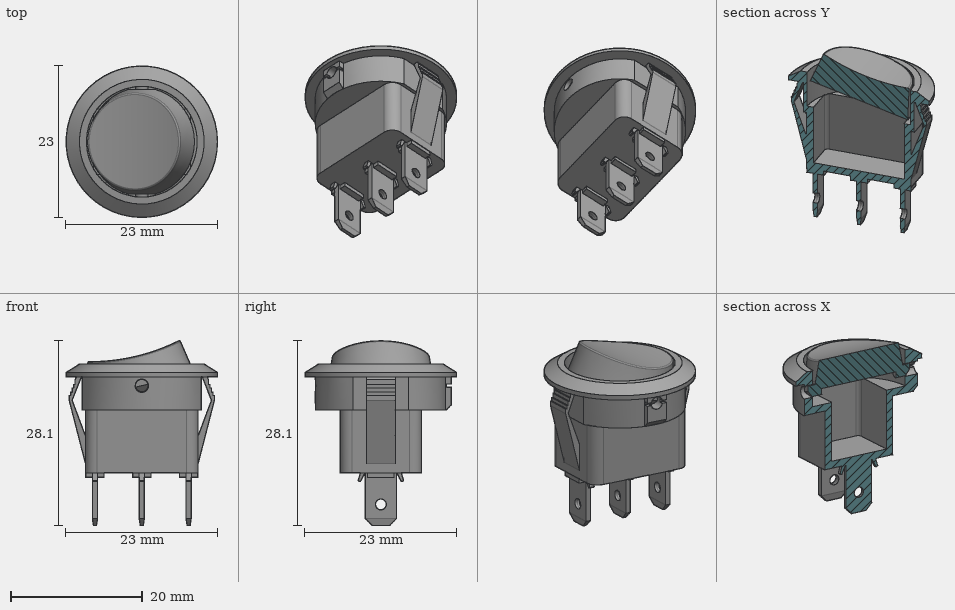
import cadquery as cq


flange_diameter = 23.0
flange_rim_height = 0.7
flange_height = 1.97
flange_top_diameter = 18.95
collar_diameter = 19.95
collar_depth = 5.05
collar_width = 18.1

body_length = 17.15
body_width = 12.35
body_corner_radius = 1.8
body_bottom = -14.55

wall = 1.2
bowl_diameter = 16.8
bowl_floor = wall - collar_depth
well_length = body_length - 2 * wall
well_width = body_width - 2 * wall
well_floor = body_bottom + wall

pivot_height = -1.32
pivot_hole_diameter = 2.0
pin_diameter = 1.9
pin_start = 6.75
pin_end = 9.27
pin_bevel_run = 0.8

key_width = 3.37
key_reach = 10.7
key_chamfer = 0.81
key_slot_height = 0.45

clip_width = 4.38
clip_root_inner = 9.15
clip_root_outer = 9.95
clip_slope_depth = 0.42
clip_first_step_x = 10.15
clip_step_width = 0.22
clip_step_levels = [-1.12, -1.65, -2.3, -2.8]
clip_knee_inner = 10.57
clip_knee_level = -3.55
clip_foot_inner_level = -8.88
clip_foot_outer_level = -13.15
clip_overlap = 0.28

terminal_pitch = 7.1
terminal_thickness = 0.81
terminal_width = 4.75
terminal_bottom = -22.6
terminal_tip_height = 1.1
terminal_tip_width = 2.6
terminal_tip_thickness = 0.48
terminal_hole_diameter = 1.6
terminal_hole_level = -19.35
terminal_block_length = 2.8
terminal_block_width = 4.02
terminal_block_height = 0.7
barb_root_inner = 2.4
barb_root_outer = 3.12
barb_reach = 3.45
barb_length = 1.32
barb_tip_chamfer = 0.17
barb_tip_width = 0.2

rocker_tilt = 13.0
rocker_base_radius = 8.2
rocker_top_radius = 7.2
rocker_height = 5.42
rocker_flat_width = 15.9
rocker_sag = 0.87
rocker_edge_radius = 0.22


def make_shell():
    """Flange, collar, lower body and the hollow inside them."""
    flange_radius = flange_diameter / 2
    flange = (
        cq.Workplane("XZ")
        .polyline([
            (0, 0),
            (flange_radius, 0),
            (flange_radius, flange_rim_height),
            (flange_top_diameter / 2, flange_height),
            (0, flange_height),
        ])
        .close()
        .revolve(360, (0, 0, 0), (0, 1, 0))
    )
    flats = cq.Workplane("XY").rect(collar_width, collar_diameter).extrude(-collar_depth)
    collar = cq.Workplane("XY").circle(collar_diameter / 2).extrude(-collar_depth).intersect(flats)
    body = (
        cq.Workplane("XY")
        .rect(body_length, body_width)
        .extrude(body_bottom)
        .edges("|Z")
        .fillet(body_corner_radius)
    )
    bowl = (
        cq.Workplane("XY", origin=(0, 0, bowl_floor))
        .circle(bowl_diameter / 2)
        .extrude(flange_height - bowl_floor)
    )
    well = (
        cq.Workplane("XY", origin=(0, 0, well_floor))
        .rect(well_length, well_width)
        .extrude(bowl_floor - well_floor)
        .edges("|Z")
        .fillet(body_corner_radius - wall)
    )
    return flange.union(collar).union(body).union(make_key()).cut(bowl).cut(well)


def make_key():
    """Locating key on the collar, split by a slot at pivot height."""
    key_root = bowl_diameter / 2
    key = (
        cq.Workplane("YZ")
        .polyline([
            (key_root, 0),
            (key_reach, 0),
            (key_reach, key_chamfer - collar_depth),
            (key_reach - key_chamfer, -collar_depth),
            (key_root, -collar_depth),
        ])
        .close()
        .extrude(key_width / 2, both=True)
    )
    slot_depth = key_reach - collar_diameter / 2
    slot_center = (0, key_reach - slot_depth / 2, pivot_height)
    slot = cq.Workplane("XY", origin=slot_center).box(key_width, slot_depth, key_slot_height)
    return key.cut(slot)


def make_clip(side):
    """Stepped spring clip on one X side; side is +1 or -1."""
    outline = [
        (clip_root_inner, 0),
        (clip_root_outer, 0),
        (clip_first_step_x, -clip_slope_depth),
    ]
    clip_x = clip_first_step_x
    for level in clip_step_levels:
        outline.append((clip_x, level))
        clip_x += clip_step_width
        outline.append((clip_x, level))
    foot_x = body_length / 2
    outline += [
        (clip_x, clip_knee_level),
        (foot_x, clip_foot_outer_level),
        (foot_x - clip_overlap, clip_foot_outer_level),
        (foot_x - clip_overlap, clip_foot_inner_level),
        (foot_x, clip_foot_inner_level),
        (clip_knee_inner, clip_knee_level),
    ]
    return (
        cq.Workplane("XZ")
        .polyline([(side * x, z) for x, z in outline])
        .close()
        .extrude(clip_width / 2, both=True)
    )


def make_blade():
    """Terminal blade in the YZ plane with a narrowed, thinned tip and a hole."""
    tip_top = terminal_bottom + terminal_tip_height
    blade = (
        cq.Workplane("YZ")
        .polyline([
            (-terminal_width / 2, body_bottom),
            (-terminal_width / 2, tip_top),
            (-terminal_tip_width / 2, terminal_bottom),
            (terminal_tip_width / 2, terminal_bottom),
            (terminal_width / 2, tip_top),
            (terminal_width / 2, body_bottom),
        ])
        .close()
        .extrude(terminal_thickness / 2, both=True)
    )
    taper = (
        cq.Workplane("XZ")
        .polyline([
            (-terminal_thickness / 2, body_bottom),
            (-terminal_thickness / 2, tip_top),
            (-terminal_tip_thickness / 2, terminal_bottom),
            (terminal_tip_thickness / 2, terminal_bottom),
            (terminal_thickness / 2, tip_top),
            (terminal_thickness / 2, body_bottom),
        ])
        .close()
        .extrude(terminal_width / 2, both=True)
    )
    hole = (
        cq.Workplane("YZ")
        .center(0, terminal_hole_level)
        .circle(terminal_hole_diameter / 2)
        .extrude(terminal_thickness, both=True)
    )
    return blade.intersect(taper).cut(hole)


def make_barb(side):
    """Bent-out barb beside a blade; side is +1 or -1 along Y."""
    barb_bottom = body_bottom - barb_length
    tip_outer = barb_reach - barb_tip_chamfer
    outline = [
        (barb_root_inner, body_bottom),
        (barb_root_outer, body_bottom),
        (barb_reach, barb_bottom + barb_tip_chamfer),
        (tip_outer, barb_bottom),
        (tip_outer - barb_tip_width, barb_bottom),
    ]
    return (
        cq.Workplane("YZ")
        .polyline([(side * y, z) for y, z in outline])
        .close()
        .extrude(terminal_thickness / 2, both=True)
    )


def make_terminal():
    """One blade with its two barbs and the block it passes through."""
    block = (
        cq.Workplane("XY", origin=(0, 0, body_bottom))
        .rect(terminal_block_length, terminal_block_width)
        .extrude(-terminal_block_height)
    )
    return make_blade().union(block).union(make_barb(1)).union(make_barb(-1))


def make_housing():
    """Shell with its clips, terminals and pivot holes as one solid."""
    housing = make_shell()
    for side in (-1, 1):
        housing = housing.union(make_clip(side))
    for position in (-1, 0, 1):
        housing = housing.union(make_terminal().translate((position * terminal_pitch, 0, 0)))
    pivot_hole = (
        cq.Workplane("XZ")
        .center(0, pivot_height)
        .circle(pivot_hole_diameter / 2)
        .extrude(flange_diameter / 2, both=True)
    )
    return housing.cut(pivot_hole)


def make_pin(side):
    """Pivot pin along Y with its lower half bevelled; side is +1 or -1."""
    pin_radius = pin_diameter / 2
    side_outline = [
        (pin_start, pin_radius),
        (pin_end, pin_radius),
        (pin_end, 0),
        (pin_end - pin_bevel_run, -pin_radius),
        (pin_start, -pin_radius),
    ]
    profile = (
        cq.Workplane("YZ")
        .polyline([(side * y, z) for y, z in side_outline])
        .close()
        .extrude(pin_radius, both=True)
    )
    cylinder = cq.Workplane("XZ").circle(pin_radius).extrude(pin_end, both=True)
    return cylinder.rotate((0, 0, 0), (0, 1, 0), 90).intersect(profile)


def make_rocker():
    """Cone with a dished top, tilted about the pivot pins."""
    cone = (
        cq.Workplane("XZ")
        .polyline([
            (0, 0),
            (rocker_base_radius, 0),
            (rocker_top_radius, rocker_height),
            (0, rocker_height),
        ])
        .close()
        .revolve(360, (0, 0, 0), (0, 1, 0))
    )
    dish_radius = (rocker_top_radius**2 + rocker_sag**2) / (2 * rocker_sag)
    dish = (
        cq.Workplane("XZ")
        .center(0, rocker_height - rocker_sag + dish_radius)
        .circle(dish_radius)
        .extrude(rocker_base_radius, both=True)
    )
    flats = (
        cq.Workplane("XY")
        .rect(2 * rocker_base_radius, rocker_flat_width)
        .extrude(rocker_height)
    )
    rocker = cone.cut(dish).edges(">Z").fillet(rocker_edge_radius).intersect(flats)
    for side in (-1, 1):
        rocker = rocker.union(make_pin(side))
    return rocker.rotate((0, 0, 0), (0, 1, 0), -rocker_tilt).translate((0, 0, pivot_height))


housing = make_housing()
rocker = make_rocker()

result = cq.Compound.makeCompound([housing.val(), rocker.val()])